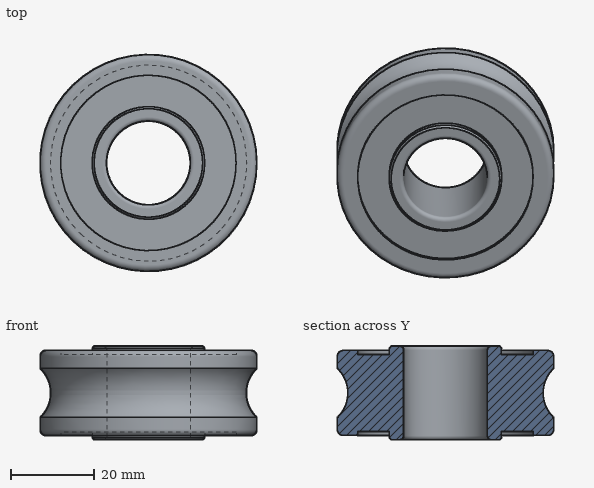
import cadquery as cq
import math

outer_diameter = 52.0
ring_width = 20.5
rim_fillet = 1.5
neck_diameter = 47.0
groove_width = 11.75
neck_flat_width = 1.1
flank_radius = 8.0
recess_diameter = 42.0
recess_depth = 1.0

hub_diameter = 27.0
hub_width = 22.5
hub_edge_chamfer = 0.5
bore_diameter = 20.0
bore_edge_fillet = 1.0

outer_radius = outer_diameter / 2
neck_radius = neck_diameter / 2
groove_depth = outer_radius - neck_radius
flank_width = (groove_width - neck_flat_width) / 2
flank_chord = math.hypot(flank_width, groove_depth)
flank_sagitta = flank_radius - math.sqrt(flank_radius**2 - (flank_chord / 2) ** 2)
flank_mid_radius = (outer_radius + neck_radius) / 2 - flank_sagitta * flank_width / flank_chord
flank_mid_height = (groove_width + neck_flat_width) / 4 + flank_sagitta * groove_depth / flank_chord


def centered_disc(diameter, width):
    return cq.Workplane("XY").circle(diameter / 2).extrude(width / 2, both=True)


def groove_cutter():
    """Revolved groove section: two arc flanks joined by a narrow cylindrical neck."""
    half_groove = groove_width / 2
    half_flat = neck_flat_width / 2
    return (
        cq.Workplane("XZ")
        .moveTo(outer_radius, -half_groove)
        .threePointArc((flank_mid_radius, -flank_mid_height), (neck_radius, -half_flat))
        .lineTo(neck_radius, half_flat)
        .threePointArc((flank_mid_radius, flank_mid_height), (outer_radius, half_groove))
        .lineTo(outer_radius + groove_depth, half_groove)
        .lineTo(outer_radius + groove_depth, -half_groove)
        .close()
        .revolve(360, (0, 0, 0), (0, 1, 0))
    )


def outer_ring():
    """Round-edged disc with a groove and a shallow recess in each face."""
    ring = centered_disc(outer_diameter, ring_width).edges().fillet(rim_fillet)
    ring = ring.cut(groove_cutter())
    for face in (">Z", "<Z"):
        ring = (
            ring.faces(face)
            .workplane(centerOption="CenterOfBoundBox")
            .circle(recess_diameter / 2)
            .cutBlind(-recess_depth)
        )
    return ring


def inner_ring():
    """Chamfered solid hub, before boring."""
    return centered_disc(hub_diameter, hub_width).edges().chamfer(hub_edge_chamfer)


bore = centered_disc(bore_diameter, hub_width)
result = outer_ring().union(inner_ring()).cut(bore)
bore_edges = cq.selectors.RadiusNthSelector(0)
result = result.faces("<Z or >Z").edges(bore_edges).fillet(bore_edge_fillet)